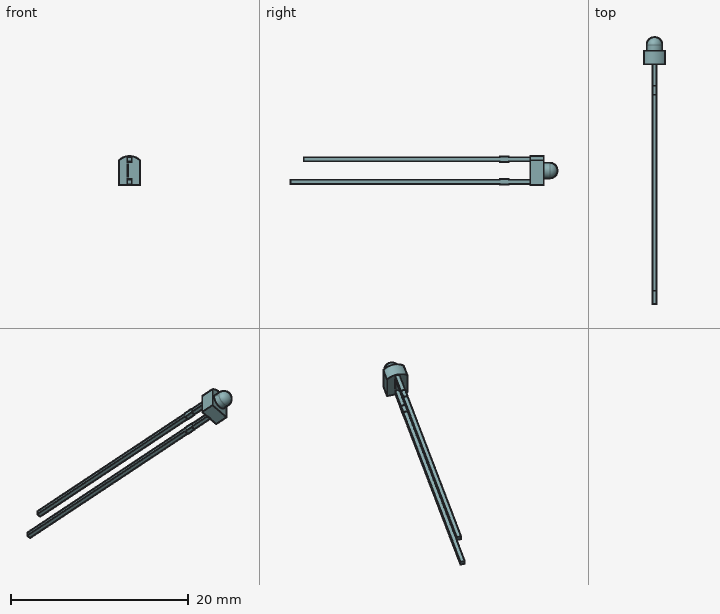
import cadquery as cq
import math


overall_length = 30.1

lead_pitch = 2.54
lead_size = 0.5
lead_embed = 0.5
long_lead_length = 27.0
lead_length_step = 1.5
short_lead_length = long_lead_length - lead_length_step
stop_distance = 2.4
stop_length = 1.0
stop_height = 0.65

body_width = 2.4
body_height = 3.3
body_depth = 1.55
arch_radius = body_height / 2

lens_radius = 0.9
lens_tip = overall_length - long_lead_length
lens_shoulder = lens_tip - lens_radius

slot_width = 0.1
slot_height = 1.4
slot_depth = 0.1
slot_left = -lead_size / 2


def make_body():
    half_width = body_width / 2
    half_height = body_height / 2
    arch_spring = math.sqrt(arch_radius**2 - half_width**2)
    return (
        cq.Workplane("XZ")
        .moveTo(-half_width, -half_height)
        .lineTo(half_width, -half_height)
        .lineTo(half_width, arch_spring)
        .threePointArc((0, half_height), (-half_width, arch_spring))
        .close()
        .extrude(-body_depth)
    )


def make_lens():
    diagonal = lens_radius * math.sqrt(0.5)
    lens_root = body_depth / 2
    return (
        cq.Workplane("XY")
        .moveTo(0, lens_root)
        .lineTo(lens_radius, lens_root)
        .lineTo(lens_radius, lens_shoulder)
        .threePointArc((diagonal, lens_shoulder + diagonal), (0, lens_tip))
        .close()
        .revolve(360, (0, 0, 0), (0, 1, 0))
    )


def make_bar(start, end, height, center_z):
    """Bar of lead width running along Y from start to end."""
    return cq.Workplane("XY").box(lead_size, end - start, height).translate((0, (start + end) / 2, center_z))


def make_lead(length, center_z):
    shank = make_bar(-length, lead_embed, lead_size, center_z)
    stop = make_bar(-stop_distance - stop_length, -stop_distance, stop_height, center_z)
    return shank.union(stop)


def make_slot():
    return (
        cq.Workplane("XY")
        .box(slot_width, slot_depth, slot_height)
        .translate((slot_left + slot_width / 2, slot_depth / 2, 0))
    )


result = make_body().cut(make_slot()).union(make_lens())
result = result.union(make_lead(short_lead_length, lead_pitch / 2))
result = result.union(make_lead(long_lead_length, -lead_pitch / 2))